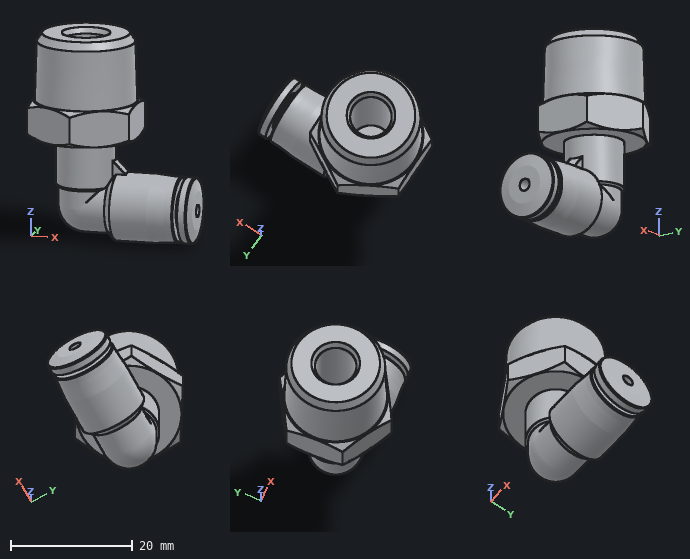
import cadquery as cq
import math

total_height = 34.75

port_radius = 11.5 / 2
collar_radius = 11.0 / 2
elbow_radius = 4.6
port_cone_start = 4.38
port_cone_length = port_radius - elbow_radius
port_taper_start = 11.92
port_taper_end = 14.85
port_end = 16.3
port_end_chamfer = 0.17
port_axis_z = port_radius

neck_radius = 6.85 / 2
neck_groove_radius = 6.78 / 2
neck_step = 16.9
collar_start = 17.13
collar_end = 19.1
collar_rim_end = 18.42
collar_edge_x = 18.63
collar_edge_radius = 5.4
collar_face_radius = 3.23

hex_corner_diameter = 20.15
hex_corner_radius = hex_corner_diameter / 2
hex_bottom = 17.25
hex_top = 23.35
hex_chamfer_radius = 8.65
hex_chamfer_angle = math.radians(30)
hex_chamfer_drop = (hex_corner_radius - hex_chamfer_radius) * math.tan(hex_chamfer_angle)

thread_base_radius = 8.48
thread_tip_radius = 8.15
thread_face_radius = 7.3
thread_chamfer_height = 1.4

stem_radius = 10.0 / 2
stem_bottom = 9.3
stem_cone_height = stem_radius - elbow_radius

web_thickness = 2.5
web_top = 13.7
web_edge_x = 4.83
web_inside_x = 3.48

bore_radius = 6.85 / 2
bore_mouth_radius = 4.0
bore_chamfer_angle = math.radians(60)
bore_chamfer_depth = (bore_mouth_radius - bore_radius) * math.tan(bore_chamfer_angle)
bore_floor = hex_bottom
passage_radius = 2.0 / 2


def revolve_z(profile):
    """Turn a list of (radius, z) points around Z."""
    return cq.Workplane("XZ").polyline(profile).close().revolve(360, (0, 0), (0, 1))


def make_elbow(radius, top_z, end_x):
    """Vertical and horizontal cylinders joined by a spherical corner."""
    upright = cq.Workplane("XY").workplane(offset=port_axis_z).circle(radius).extrude(top_z - port_axis_z)
    arm = cq.Workplane("YZ").center(0, port_axis_z).circle(radius).extrude(end_x)
    corner = cq.Workplane("XY").sphere(radius).translate((0, 0, port_axis_z))
    return upright.union(arm).union(corner)


def make_hexagon():
    height = hex_top - hex_bottom
    prism = cq.Workplane("XY").workplane(offset=hex_bottom).polygon(6, hex_corner_diameter).extrude(height)
    prism = prism.rotate((0, 0, 0), (0, 0, 1), 90)
    chamfer_limit = revolve_z([
        (0, hex_bottom),
        (hex_chamfer_radius, hex_bottom),
        (hex_corner_radius, hex_bottom + hex_chamfer_drop),
        (hex_corner_radius, hex_top - hex_chamfer_drop),
        (hex_chamfer_radius, hex_top),
        (0, hex_top),
    ])
    return prism.intersect(chamfer_limit)


def make_stem_and_thread():
    stem = revolve_z([
        (0, stem_bottom - stem_cone_height),
        (elbow_radius, stem_bottom - stem_cone_height),
        (stem_radius, stem_bottom),
        (stem_radius, hex_bottom),
        (0, hex_bottom),
    ])
    thread = revolve_z([
        (0, hex_top),
        (thread_base_radius, hex_top),
        (thread_tip_radius, total_height - thread_chamfer_height),
        (thread_face_radius, total_height),
        (0, total_height),
    ])
    return stem.union(make_hexagon()).union(thread)


def make_port():
    profile = [
        (port_cone_start, 0),
        (port_cone_start, elbow_radius),
        (port_cone_start + port_cone_length, port_radius),
        (port_taper_start, port_radius),
        (port_taper_end, collar_radius),
        (port_end - port_end_chamfer, collar_radius),
        (port_end, collar_radius - port_end_chamfer),
        (port_end, neck_radius),
        (neck_step, neck_radius),
        (neck_step, neck_groove_radius),
        (collar_start, neck_groove_radius),
        (collar_start, collar_radius),
        (collar_rim_end, collar_radius),
        (collar_edge_x, collar_edge_radius),
        (collar_end, collar_face_radius),
        (collar_end, 0),
    ]
    port = cq.Workplane("XZ").polyline(profile).close().revolve(360, (0, 0), (1, 0))
    return port.translate((0, 0, port_axis_z))


def make_web():
    web_end_x = web_edge_x + web_top - stem_bottom
    outline = [
        (web_inside_x, stem_bottom),
        (web_inside_x, web_top),
        (web_edge_x, web_top),
        (web_end_x, stem_bottom),
    ]
    return cq.Workplane("XZ").polyline(outline).close().extrude(web_thickness / 2, both=True)


def make_flow_passage():
    bore = revolve_z([
        (0, bore_floor),
        (bore_radius, bore_floor),
        (bore_radius, total_height - bore_chamfer_depth),
        (bore_mouth_radius, total_height),
        (0, total_height),
    ])
    return bore.union(make_elbow(passage_radius, bore_floor, collar_end))


body = make_elbow(elbow_radius, stem_bottom, port_cone_start)
body = body.union(make_stem_and_thread()).union(make_port()).union(make_web())
result = body.cut(make_flow_passage())